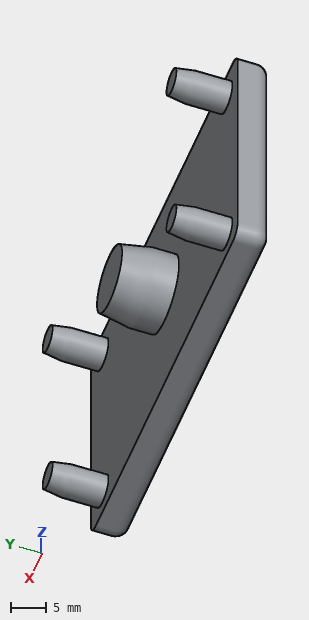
import cadquery as cq

plate_length = 60.0
plate_height = 40.0
plate_thickness = 5.0
edge_radius = 2.0

overall_depth = 13.3
plug_length = overall_depth - plate_thickness

pin_diameter = 5.0
pin_tip_diameter = 4.15
pin_taper_length = 2.9
pin_inset = 4.7

boss_diameter = 12.0
boss_tip_diameter = 10.3
boss_taper_length = 4.75


def rounded_plate():
    """Plate with round corners and a rounded front rim; back face at Y = 0."""
    plate = cq.Workplane("XY").box(
        plate_length, plate_thickness, plate_height, centered=(True, False, True)
    )
    plate = plate.translate((0, -plate_thickness, 0))
    return plate.edges("|Y or <Y").fillet(edge_radius)


def tapered_plug(diameter, tip_diameter, taper_length, x, z):
    """Cylinder with a conical tip, rooted inside the plate for a clean union."""
    root_depth = plate_thickness / 2
    profile = (
        cq.Workplane("XY")
        .moveTo(0, -root_depth)
        .lineTo(diameter / 2, -root_depth)
        .lineTo(diameter / 2, plug_length - taper_length)
        .lineTo(tip_diameter / 2, plug_length)
        .lineTo(0, plug_length)
        .close()
    )
    return profile.revolve(360, (0, 0), (0, 1)).translate((x, 0, z))


result = rounded_plate()
result = result.union(tapered_plug(boss_diameter, boss_tip_diameter, boss_taper_length, 0, 0))

pin_x = plate_length / 2 - pin_inset
pin_z = plate_height / 2 - pin_inset
for x in (-pin_x, pin_x):
    for z in (-pin_z, pin_z):
        result = result.union(tapered_plug(pin_diameter, pin_tip_diameter, pin_taper_length, x, z))